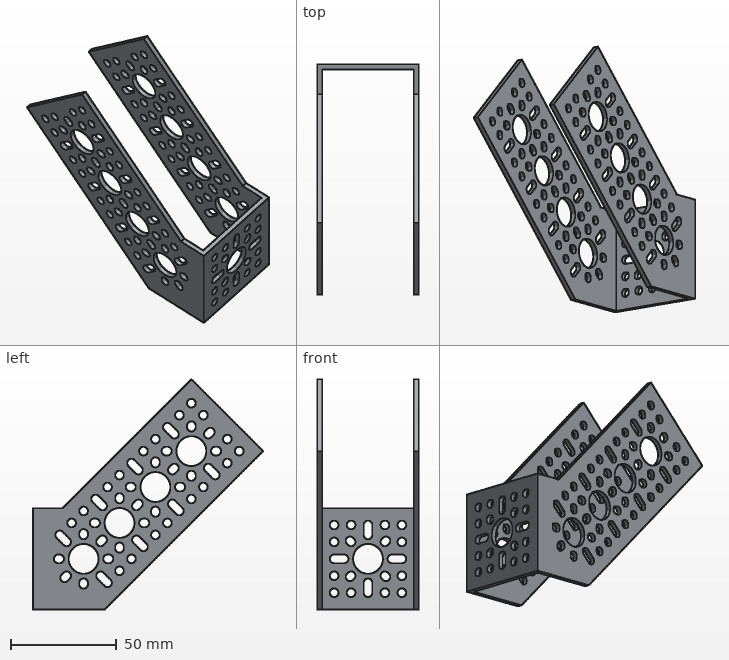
import cadquery as cq
import math

WIDTH = 48.0
THICKNESS = 2.5
ARM_ANGLE = 45.0
UNIT_PITCH = 24.0
UNIT_COUNT = 4

GRID = 8.0
BORE_DIAMETER = 14.0
HOLE_DIAMETER = 4.0
RING_RADIUS = 12.0
OUTER = 2 * GRID
INNER_RADIUS = GRID * math.sqrt(2)
DIAGONALS = (45, 135, 225, 315)

SLOPE = math.radians(ARM_ANGLE)
CENTRE = WIDTH / 2
ARM_LENGTH = UNIT_PITCH * (UNIT_COUNT - 1) + CENTRE
CUT_LENGTH = WIDTH


def arm_point(along, across):
    """Turn a position relative to the first bore in arm axes into (Y, Z)."""
    depth = CENTRE + along * math.cos(SLOPE) - across * math.sin(SLOPE)
    height = CENTRE + along * math.sin(SLOPE) + across * math.cos(SLOPE)
    return (-depth, height)


def edge_depth_at(across, height):
    """Depth at which an arm edge, offset across the arm, reaches a height."""
    start_height = CENTRE + across * math.cos(SLOPE)
    start_depth = CENTRE - across * math.sin(SLOPE)
    return start_depth + (height - start_height) / math.tan(SLOPE)


def make_channel():
    """U channel: square upright web with two walls sloping up and forward."""
    half = WIDTH / 2
    outline = [
        (0, 0),
        (-edge_depth_at(-half, 0), 0),
        arm_point(ARM_LENGTH, -half),
        arm_point(ARM_LENGTH, half),
        (-edge_depth_at(half, WIDTH), WIDTH),
        (0, WIDTH),
    ]
    block = cq.Workplane("YZ").polyline(outline).close().extrude(half, both=True)
    height = arm_point(ARM_LENGTH, half)[1]
    depth = -arm_point(ARM_LENGTH, -half)[0]
    cavity = cq.Workplane("XY").box(
        WIDTH - 2 * THICKNESS, depth, height, centered=(True, False, False)
    )
    return block.cut(cavity.translate((0, -depth - THICKNESS, 0)))


def drill_holes(body, plane, centres, diameter):
    """Drill round through holes at the given centres."""
    cutter = cq.Workplane(plane).pushPoints(centres).circle(diameter / 2)
    return body.cut(cutter.extrude(CUT_LENGTH, both=True))


def cut_radial_slots(body, plane, bore, angles, end_radius):
    """Cut slots pointing away from a bore, from the inner radius to an end radius."""
    spacing = end_radius - INNER_RADIUS
    middle = (INNER_RADIUS + end_radius) / 2
    for angle in angles:
        turn = math.radians(angle)
        place = (bore[0] + middle * math.cos(turn), bore[1] + middle * math.sin(turn))
        outline = cq.Workplane(plane).center(*place)
        cutter = outline.slot2D(spacing + HOLE_DIAMETER, HOLE_DIAMETER, angle)
        body = body.cut(cutter.extrude(CUT_LENGTH, both=True))
    return body


def cut_web_pattern(body):
    """Bore, corner holes and eight radial slots in the upright web."""
    plane = cq.Plane(origin=(0, 0, CENTRE), xDir=(1, 0, 0), normal=(0, -1, 0))
    bore = (0, 0)
    corner_holes = [
        (side * x, level * z)
        for side in (-1, 1)
        for level in (-1, 1)
        for x, z in ((OUTER, OUTER), (OUTER, GRID), (GRID, OUTER))
    ]
    body = drill_holes(body, plane, [bore], BORE_DIAMETER)
    body = drill_holes(body, plane, corner_holes, HOLE_DIAMETER)
    body = cut_radial_slots(body, plane, bore, (0, 90, 180, 270), OUTER)
    return cut_radial_slots(body, plane, bore, DIAGONALS, RING_RADIUS)


def cut_wall_pattern(body):
    """Repeat the bore pattern along the arm, through both side walls."""
    plane = cq.Plane(
        origin=(0, -CENTRE, CENTRE),
        xDir=(0, -math.cos(SLOPE), math.sin(SLOPE)),
        normal=(-1, 0, 0),
    )
    bores = [(UNIT_PITCH * i, 0) for i in range(UNIT_COUNT)]
    edge_holes = [
        (along + step, side * OUTER)
        for along, _ in bores
        for step in (GRID, OUTER)
        for side in (-1, 1)
    ]
    end_holes = [(bores[-1][0] + OUTER, side * GRID) for side in (-1, 1)]
    body = drill_holes(body, plane, bores, BORE_DIAMETER)
    body = drill_holes(body, plane, edge_holes + end_holes, HOLE_DIAMETER)
    for bore in bores:
        body = cut_radial_slots(body, plane, bore, (90, 270), OUTER)
        body = cut_radial_slots(body, plane, bore, DIAGONALS, RING_RADIUS)
        body = cut_radial_slots(body, plane, bore, (0,), UNIT_PITCH - INNER_RADIUS)
    return cut_radial_slots(body, plane, bores[0], (180,), UNIT_PITCH - INNER_RADIUS)


channel = make_channel()
channel = cut_web_pattern(channel)
result = cut_wall_pattern(channel)